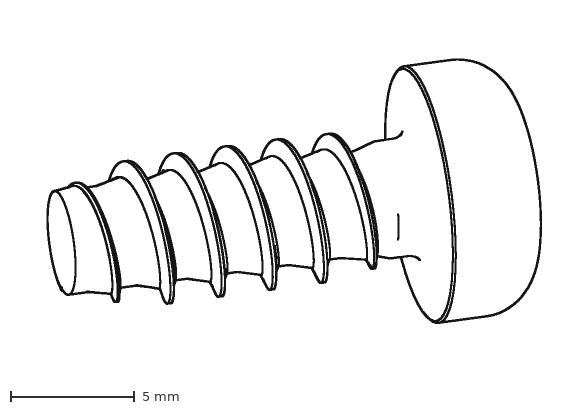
import cadquery as cq
import math

head_radius = 10.5 / 2
head_height = 4.18
dome_radius = 2.11
head_edge_chamfer = 0.1

neck_radius = 2.4
neck_fillet = 0.79
neck_end = -1.52
core_radius = 2.11
core_start = -2.44
tip_end = head_height - 19.19
blank_end = tip_end - 3.84
tip_recess_radius = 1.95
tip_recess_depth = 0.29

pitch = 2.15
crest_radius = 6.0 / 2
crest_half_width = 0.08
shoulder_radius = 2.36
head_flank_width = 0.25
head_root_width = 0.58
tip_flank_width = 0.35
ramp_length = 1.38
buried_radius = core_radius - 0.29
ramp_foot_radius = core_radius - 0.02

thread_start = tip_end - 0.58
thread_end = neck_end + pitch / 4
full_height_start = -11.8
full_height_end = -3.65
neck_height_fraction = 0.48
lowest_height_fraction = 0.1
crest_on_top = -7.5
steps_per_turn = 24


def make_body():
    """Head, filleted neck, taper and cylindrical core as one revolved outline."""
    diagonal = math.sqrt(0.5)
    dome_center = (head_radius - dome_radius, head_height - dome_radius)
    fillet_center = (neck_radius + neck_fillet, -neck_fillet)
    return (
        cq.Workplane("XY")
        .moveTo(0, head_height)
        .lineTo(dome_center[0], head_height)
        .threePointArc(
            (dome_center[0] + dome_radius * diagonal, dome_center[1] + dome_radius * diagonal),
            (head_radius, dome_center[1]),
        )
        .lineTo(head_radius, head_edge_chamfer)
        .lineTo(head_radius - head_edge_chamfer, 0)
        .lineTo(fillet_center[0], 0)
        .threePointArc(
            (fillet_center[0] - neck_fillet * diagonal, fillet_center[1] + neck_fillet * diagonal),
            (neck_radius, -neck_fillet),
        )
        .lineTo(neck_radius, neck_end)
        .lineTo(core_radius, core_start)
        .lineTo(core_radius, blank_end)
        .lineTo(0, blank_end)
        .close()
        .revolve(360, (0, 0, 0), (0, 1, 0))
    )


def height_fraction(y):
    """Thread height at crest position y, as a share of the full height."""
    if y < full_height_start:
        return max((y - tip_end) / (full_height_start - tip_end), lowest_height_fraction)
    if y > full_height_end:
        fade = (y - full_height_end) / (neck_end - full_height_end)
        return 1 - fade * (1 - neck_height_fraction)
    return 1.0


def thread_section(y):
    """Corners of the thread profile around a crest at y."""
    fraction = height_fraction(y)
    rise = math.sqrt(fraction) * (shoulder_radius - core_radius)
    crest = core_radius + fraction * (crest_radius - core_radius)
    profile = [
        (head_root_width * fraction, buried_radius),
        (head_flank_width * fraction, core_radius + rise),
        (crest_half_width * fraction, crest),
        (-crest_half_width * fraction, crest),
        (-tip_flank_width * fraction, core_radius + rise),
        (-ramp_length, ramp_foot_radius),
        (-ramp_length, buried_radius),
    ]
    angle = 2 * math.pi * (y - crest_on_top) / pitch
    return [cq.Vector(r * math.sin(angle), y + offset, r * math.cos(angle)) for offset, r in profile]


def make_thread():
    """Solid thread bounded by ruled faces between the helical edges of its corners."""
    step_count = math.ceil((thread_end - thread_start) / pitch * steps_per_turn)
    step = (thread_end - thread_start) / step_count
    sections = [thread_section(thread_start + i * step) for i in range(step_count + 1)]
    edges = [cq.Edge.makeSpline(list(corner)) for corner in zip(*sections)]
    faces = [cq.Face.makeRuledSurface(edges[i - 1], edges[i]) for i in range(len(edges))]
    for section in (sections[0], sections[-1]):
        faces.append(cq.Face.makeFromWires(cq.Wire.makePolygon(section, close=True)))
    return cq.Workplane(cq.Solid.makeSolid(cq.Shell.makeShell(faces)).fix())


def make_trim_block(low, high):
    """Block wider than the head that spans low to high along Y."""
    width = 2 * head_radius
    return cq.Workplane("XY").box(width, high - low, width).translate((0, (low + high) / 2, 0))


def make_tip_recess():
    """Shallow cone sunk into the tip face."""
    return cq.Workplane(
        cq.Solid.makeCone(
            tip_recess_radius, 0, tip_recess_depth, cq.Vector(0, tip_end, 0), cq.Vector(0, 1, 0)
        )
    )


thread = make_thread().intersect(make_trim_block(blank_end, neck_end))
blank = make_body().union(thread)
result = blank.cut(make_trim_block(2 * blank_end, tip_end)).cut(make_tip_recess())